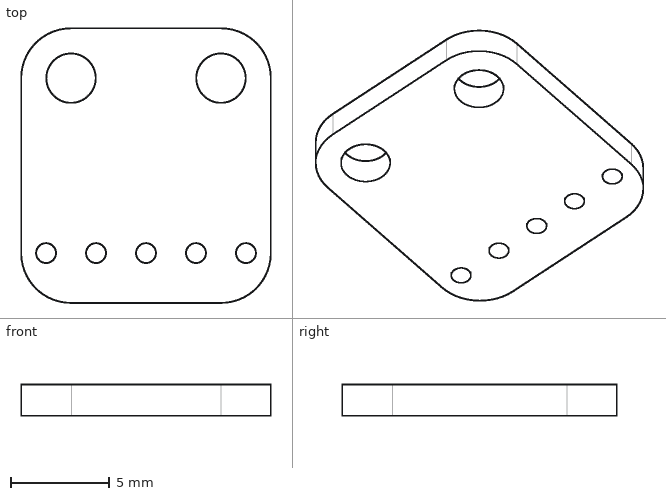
import cadquery as cq

grid = 2.54
board_width = 5 * grid
board_length = 5.5 * grid
board_thickness = 1.6
corner_radius = grid

mounting_hole_diameter = 2.5
mounting_hole_inset = grid

pin_hole_diameter = 1.0
pin_count = 5
pin_row_inset = grid


def make_board():
    """Flat plate with rounded vertical corners."""
    plate = cq.Workplane("XY").box(board_width, board_length, board_thickness)
    return plate.edges("|Z").fillet(corner_radius)


def drill_through(body, centers, diameter):
    """Drill holes from the top face through the full thickness."""
    top_plane = body.faces(">Z").workplane(origin=(0, 0, 0))
    return top_plane.pushPoints(centers).hole(diameter)


mounting_x = board_width / 2 - mounting_hole_inset
mounting_y = board_length / 2 - mounting_hole_inset
mounting_centers = [(side * mounting_x, mounting_y) for side in (-1, 1)]

pin_row_y = pin_row_inset - board_length / 2
first_pin_x = -grid * (pin_count - 1) / 2
pin_centers = [(first_pin_x + index * grid, pin_row_y) for index in range(pin_count)]

result = make_board()
result = drill_through(result, mounting_centers, mounting_hole_diameter)
result = drill_through(result, pin_centers, pin_hole_diameter)